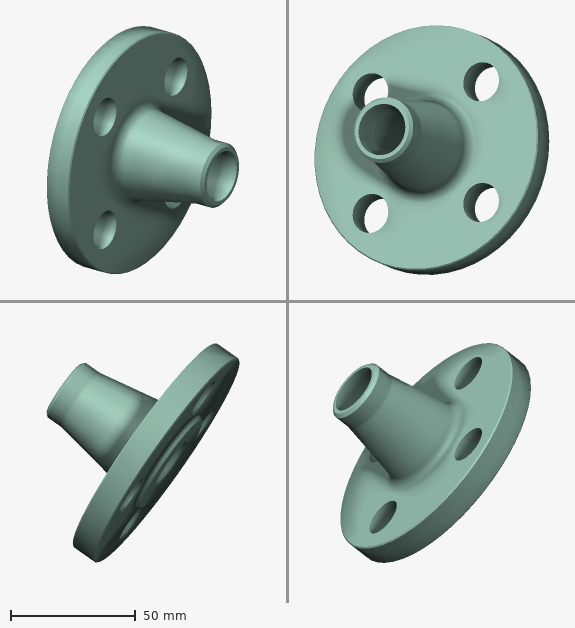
import cadquery as cq
import math

total_length = 53.0
flange_diameter = 100.0
flange_thickness = 11.1
edge_chamfer = 0.5

raised_face_diameter = 42.9
raised_face_height = 2.0
raised_face_side_angle = 30.0

hub_angle = 10.2
hub_end_x = 44.7
hub_root_fillet = 4.0
hub_end_blend = 3.4

neck_diameter = 26.7
weld_bevel_length = 1.3
weld_bevel_depth = 1.3

bore_diameter = 20.9
bolt_hole_diameter = 15.9
bolt_circle_diameter = 69.9
bolt_count = 4
hole_chamfer = 0.5

flange_radius = flange_diameter / 2
flange_front_x = raised_face_height
flange_back_x = flange_front_x + flange_thickness
face_radius = raised_face_diameter / 2
face_base_radius = face_radius + raised_face_height * math.tan(math.radians(raised_face_side_angle))
neck_radius = neck_diameter / 2
hub_root_radius = neck_radius + (hub_end_x - flange_back_x) * math.tan(math.radians(hub_angle))


def make_body():
    """Solid of revolution with the hub blends and flange rim chamfers."""
    profile = [
        (0, 0),
        (0, face_radius),
        (flange_front_x, face_base_radius),
        (flange_front_x, flange_radius),
        (flange_back_x, flange_radius),
        (flange_back_x, hub_root_radius),
        (hub_end_x, neck_radius),
        (total_length - weld_bevel_length, neck_radius),
        (total_length, neck_radius - weld_bevel_depth),
        (total_length, 0),
    ]
    body = cq.Workplane("XY").polyline(profile).close().revolve(360, (0, 0, 0), (1, 0, 0))
    body = body.edges(circle_at(flange_back_x, hub_root_radius)).fillet(hub_root_fillet)
    body = body.edges(circle_at(hub_end_x, neck_radius)).fillet(hub_end_blend)
    for rim_x in (flange_front_x, flange_back_x):
        body = body.edges(circle_at(rim_x, flange_radius)).chamfer(edge_chamfer)
    return body


def circle_at(x, radius):
    """Selector for the circular edge of the given radius in the plane at x."""
    margin = 0.01
    return cq.selectors.BoxSelector(
        (x - margin, -radius - margin, -radius - margin),
        (x + margin, radius + margin, radius + margin),
        boundingbox=True,
    ) - cq.selectors.BoxSelector(
        (x - margin, -radius + margin, -radius + margin),
        (x + margin, radius - margin, radius - margin),
        boundingbox=True,
    )


def hole_cutter(diameter, start_x, end_x):
    """Cylinder along X, flared at its start to chamfer the hole mouth."""
    radius = diameter / 2
    profile = [
        (start_x, 0),
        (start_x, radius + hole_chamfer),
        (start_x + hole_chamfer, radius),
        (end_x, radius),
        (end_x, 0),
    ]
    return cq.Workplane("XY").polyline(profile).close().revolve(360, (0, 0, 0), (1, 0, 0))


result = make_body().cut(hole_cutter(bore_diameter, 0, total_length))

bolt_hole = hole_cutter(bolt_hole_diameter, flange_front_x, flange_back_x)
bolt_spacing = 360 / bolt_count
for index in range(bolt_count):
    angle = math.radians(bolt_spacing * (index + 0.5))
    bolt_y = bolt_circle_diameter / 2 * math.cos(angle)
    bolt_z = bolt_circle_diameter / 2 * math.sin(angle)
    result = result.cut(bolt_hole.translate((0, bolt_y, bolt_z)))